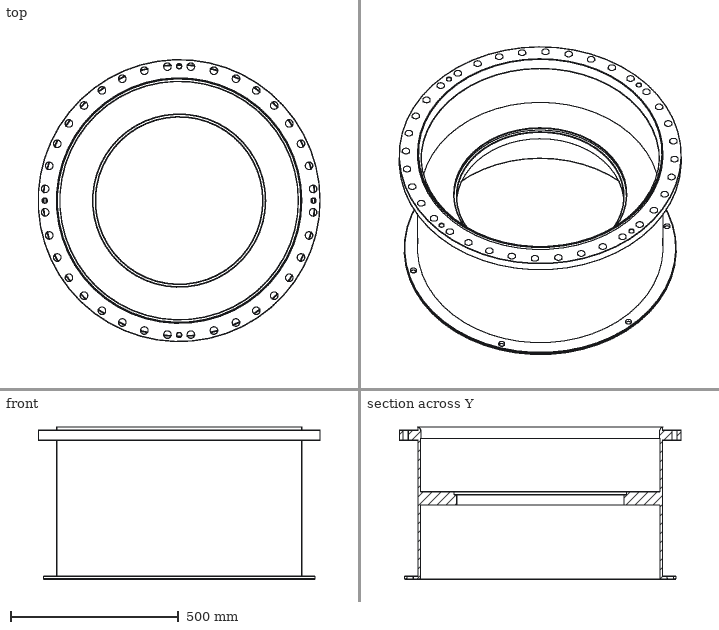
import cadquery as cq

total_height = 454.0
body_radius = 365.5
wall_radius = 356.0

edge_chamfer = 1.0

top_flange_radius = 420.0
top_flange_thickness = 30.0
lip_height = 10.0
top_flange_top = total_height - lip_height
top_flange_bottom = top_flange_top - top_flange_thickness

mouth_radius = 354.5
mouth_bottom = 419.5
mouth_round_bottom = 438.5
lead_in_radius = 358.5
lead_in_bottom = 449.5
rim_radius = 362.0

base_flange_radius = 405.0
base_flange_thickness = 10.0
base_chamfer = 2.0

plate_top = 261.0
plate_bottom = 221.0
bore_radius = 248.5
recess_radius = 256.5
recess_depth = 9.0
bore_chamfer = 1.5

bolt_circle_radius = 400.0
bolt_hole_diameter = 22.0
bolt_count = 36
dowel_hole_diameter = 14.0
dowel_hole_chamfer = 1.0
dowel_count = 4
base_circle_radius = 387.0
base_hole_diameter = 18.0
base_hole_count = 6


def disc(radius, bottom, top):
    """Solid cylinder about the Z axis between two heights."""
    return cq.Workplane("XY").workplane(offset=bottom).circle(radius).extrude(top - bottom)


def chamfered_bore(radius, chamfer, bottom, top):
    """Cutting cylinder that flares by the chamfer at its upper end."""
    return (
        cq.Workplane("XZ")
        .moveTo(0, bottom)
        .lineTo(radius, bottom)
        .lineTo(radius, top - chamfer)
        .lineTo(radius + chamfer, top)
        .lineTo(0, top)
        .close()
        .revolve(360, (0, 0, 0), (0, 1, 0))
    )


def cut_hole_ring(body, cutter, circle_radius, count, start_angle=0):
    """Cut copies of a cutter, given on the Z axis, evenly spaced around a circle."""
    for index in range(count):
        angle = start_angle + 360 * index / count
        body = body.cut(cutter.translate((circle_radius, 0, 0)).rotate((0, 0, 0), (0, 0, 1), angle))
    return body


def make_mouth_cutter():
    """Revolved opening of the mouth: straight neck, rounded shoulder, conical lead-in."""
    run = lead_in_radius - mouth_radius
    rise = lead_in_bottom - mouth_round_bottom
    arc_radius = (run**2 + rise**2) / (2 * run)
    half_way_rise = rise / 2
    half_way_run = arc_radius - (arc_radius**2 - half_way_rise**2) ** 0.5
    return (
        cq.Workplane("XZ")
        .moveTo(0, mouth_bottom)
        .lineTo(mouth_radius, mouth_bottom)
        .lineTo(mouth_radius, mouth_round_bottom)
        .threePointArc(
            (mouth_radius + half_way_run, mouth_round_bottom + half_way_rise),
            (lead_in_radius, lead_in_bottom),
        )
        .lineTo(rim_radius, total_height)
        .lineTo(0, total_height)
        .close()
        .revolve(360, (0, 0, 0), (0, 1, 0))
    )


def make_outside():
    """Wall cylinder with the two flanges, still solid inside."""
    wall = disc(body_radius, 0, total_height).faces(">Z").chamfer(edge_chamfer)
    base_flange = disc(base_flange_radius, 0, base_flange_thickness)
    base_flange = base_flange.faces("<Z or >Z").chamfer(base_chamfer)
    top_flange = disc(top_flange_radius, top_flange_bottom, top_flange_top)
    top_flange = top_flange.faces("<Z or >Z").chamfer(edge_chamfer)
    return wall.union(base_flange).union(top_flange)


def cut_inside(body):
    """Hollow the body, leaving the partition plate with its stepped bore."""
    body = body.cut(disc(wall_radius, 0, plate_bottom))
    body = body.cut(disc(wall_radius, plate_top, mouth_bottom))
    body = body.cut(make_mouth_cutter())
    recess_floor = plate_top - recess_depth
    body = body.cut(chamfered_bore(bore_radius, bore_chamfer, plate_bottom, recess_floor))
    return body.cut(chamfered_bore(recess_radius, bore_chamfer, recess_floor, plate_top))


def cut_flange_holes(body):
    """Bolt and dowel holes in the top flange and mounting holes in the base flange."""
    half_pitch = 180 / bolt_count
    bolt_hole = disc(bolt_hole_diameter / 2, top_flange_bottom, top_flange_top)
    dowel_hole = chamfered_bore(
        dowel_hole_diameter / 2, dowel_hole_chamfer, top_flange_bottom, top_flange_top
    )
    base_hole = disc(base_hole_diameter / 2, 0, base_flange_thickness)
    body = cut_hole_ring(body, bolt_hole, bolt_circle_radius, bolt_count, half_pitch)
    body = cut_hole_ring(body, dowel_hole, bolt_circle_radius, dowel_count)
    return cut_hole_ring(body, base_hole, base_circle_radius, base_hole_count)


result = cut_flange_holes(cut_inside(make_outside()))